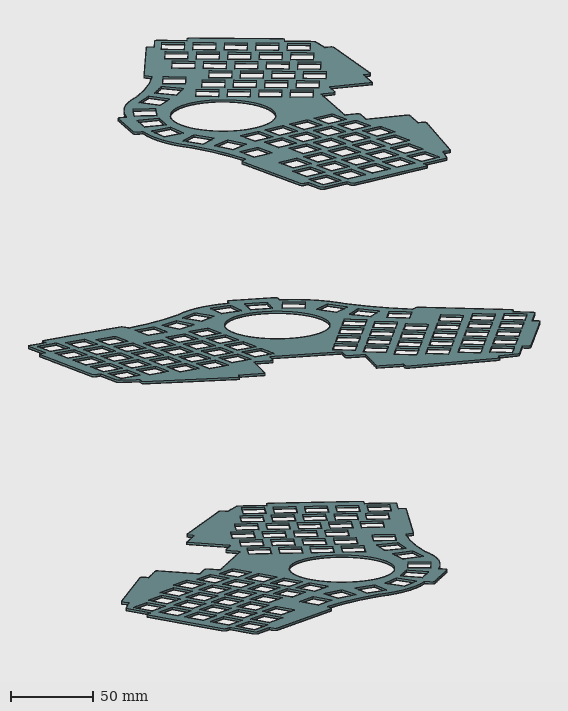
import cadquery as cq
import math


plate_thickness = 1.5
overall_width = 316.7
half_width = overall_width / 2
overall_depth = 174.5
half_depth = overall_depth / 2

key_size = 14.0
key_tilt = 20.0
tilt_cos = math.cos(math.radians(key_tilt))
tilt_sin = math.sin(math.radians(key_tilt))
column_span = 95.3
first_column_u = 37.5
key_columns = [(23.0, 4), (26.3, 4), (30.0, 4), (26.3, 5), (21.5, 5), (19.0, 5)]
key_pitch = column_span / (len(key_columns) - 1)
thumb_keys = [(21.2, -67.8, 15.0), (41.8, -54.8, 43.0), (58.3, -40.0, 36.0), (77.5, -30.0, 20.0)]
center_key_y = -70.5

opening_radius = 32.0
opening_y = -25.0

corner_radius = 2.0
key_margin = 4.5
outer_top_v, outer_key_count = key_columns[-1]
field_bottom_v = outer_top_v - (outer_key_count - 1) * key_pitch - key_size / 2 - key_margin
corner_center_v = field_bottom_v + corner_radius
corner_center_u = (half_width - corner_radius + corner_center_v * tilt_sin) / tilt_cos
field_side_u = corner_center_u + corner_radius
side_tab_height = 5.0
side_tab_low_v = -49.0
side_tab_high_v = 10.0
bottom_tab_height = 4.8
bottom_tab_outer_u = 130.5
bottom_tab_inner_u = 71.5

shoulder_x = 125.7
shoulder_y = 76.0
top_tab_outer_x = 112.0
top_tab_outer_low_y = 78.0
top_tab_outer_high_y = 83.0
top_tab_inner_x = 51.5
top_tab_peak_y = 87.5
notch_half_width = 34.8
notch_top_y = 82.3
notch_step_y = 54.8
notch_floor_half_width = 22.5
notch_floor_y = 45.3

middle_tab_half_width = 15.8
middle_tab_top_y = -81.5
bulge_middle = (36.7, -75.5)
bulge_end = (52.5, -62.7)
hollow_middle = (69.7, -50.5)
hollow_end = (88.7, -40.5)


def from_field(u, v):
    """Convert a point of the tilted key field to plate x, y."""
    return (u * tilt_cos - v * tilt_sin, u * tilt_sin + v * tilt_cos)


def key_opening(x, y, tilt):
    """Square cutter for one key."""
    cutter = cq.Workplane("XY").rect(key_size, key_size).extrude(plate_thickness)
    return cutter.rotate((0, 0, 0), (0, 0, 1), tilt).translate((x, y, 0))


def right_half_blank():
    """Right half of the plate without openings, its outer corners rounded."""
    side_tab_u = field_side_u + side_tab_height
    bottom_tab_v = field_bottom_v - bottom_tab_height
    corners = [
        (from_field(bottom_tab_inner_u, bottom_tab_v), True),
        (from_field(bottom_tab_outer_u, bottom_tab_v), True),
        (from_field(bottom_tab_outer_u, field_bottom_v), False),
        (from_field(field_side_u, field_bottom_v), True),
        (from_field(field_side_u, side_tab_low_v), False),
        (from_field(side_tab_u, side_tab_low_v), True),
        (from_field(side_tab_u, side_tab_high_v), True),
        (from_field(field_side_u, side_tab_high_v), False),
        ((shoulder_x, shoulder_y), True),
        ((top_tab_outer_x, top_tab_outer_low_y), False),
        ((top_tab_outer_x, top_tab_outer_high_y), True),
        ((top_tab_inner_x, top_tab_peak_y), True),
        ((top_tab_inner_x, notch_top_y), False),
        ((notch_half_width, notch_top_y), False),
        ((notch_half_width, notch_step_y), False),
        ((notch_floor_half_width, notch_step_y), True),
        ((notch_floor_half_width, notch_floor_y), False),
        ((0, notch_floor_y), False),
    ]
    middle_tab_corner = (middle_tab_half_width, -half_depth)
    outline = (
        cq.Workplane("XY")
        .moveTo(0, -half_depth)
        .lineTo(*middle_tab_corner)
        .lineTo(middle_tab_half_width, middle_tab_top_y)
        .threePointArc(bulge_middle, bulge_end)
        .threePointArc(hollow_middle, hollow_end)
    )
    for point, _ in corners:
        outline = outline.lineTo(*point)
    blank = outline.close().extrude(plate_thickness)

    rounded = [middle_tab_corner] + [point for point, is_rounded in corners if is_rounded]
    for x, y in rounded:
        corner_edge = cq.NearestToPointSelector((x, y, plate_thickness / 2))
        blank = blank.edges("|Z").edges(corner_edge).fillet(corner_radius)
    return blank


def right_half():
    """Right half of the plate with its finger and thumb key openings."""
    half = right_half_blank()
    for column, (top_v, key_count) in enumerate(key_columns):
        for row in range(key_count):
            x, y = from_field(first_column_u + column * key_pitch, top_v - row * key_pitch)
            half = half.cut(key_opening(x, y, key_tilt))
    for x, y, tilt in thumb_keys:
        half = half.cut(key_opening(x, y, tilt))
    return half


right = right_half()
plate = right.union(right.mirror("YZ"))
plate = plate.cut(key_opening(0, center_key_y, 0))
round_opening = cq.Workplane("XY").center(0, opening_y).circle(opening_radius).extrude(plate_thickness)
result = plate.cut(round_opening)